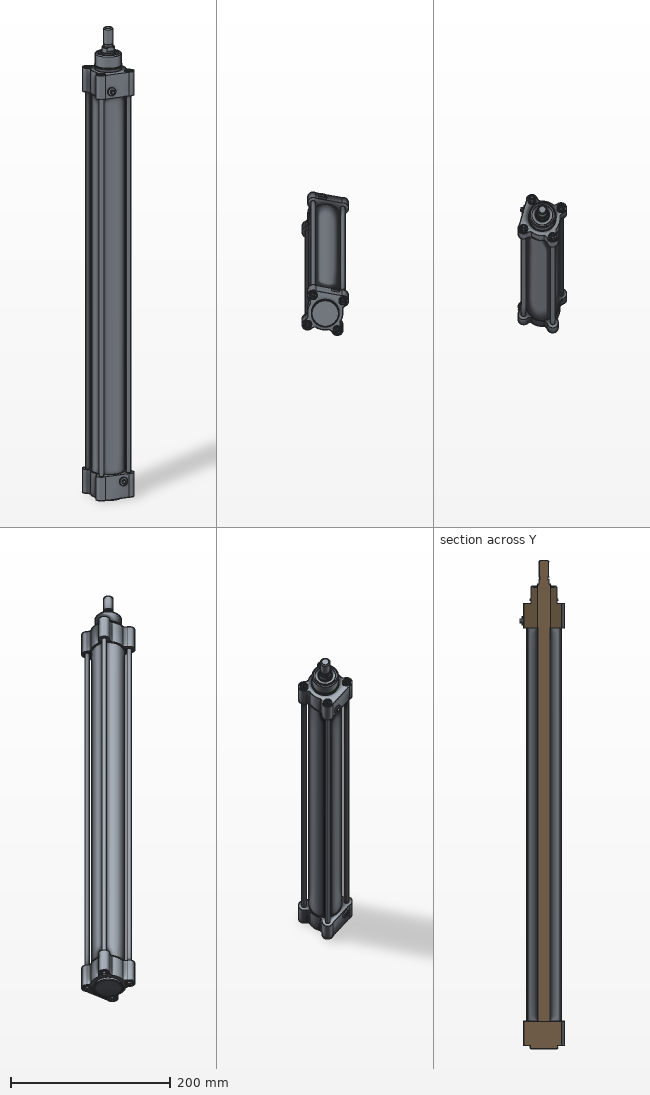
import cadquery as cq

rear_collar_length = 4.0
head_length = 31.0
face_distance = 555.0
front_collar_length = 21.5
rod_extension = 30.0
thread_length = 24.0

rear_face_z = rear_collar_length
rear_inner_z = rear_face_z + head_length
front_face_z = rear_face_z + face_distance
front_inner_z = front_face_z - head_length
front_collar_top_z = front_face_z + front_collar_length
rod_shoulder_z = front_face_z + rod_extension
rod_tip_z = rod_shoulder_z + thread_length

tie_rod_offset = 19.0
post_radius = 7.0
web_half_width = 20.5
post_fillet = 6.0
bulge_radius = 22.15
port_face_x = 25.5

collar_diameter = 35.0
collar_chamfer = 1.0
nose_diameter = 33.0
nose_chamfer = 1.5
nose_ring_gap = 3.7
nose_ring_length = 1.8
seal_recess_diameter = 26.0
seal_recess_depth = 1.0
seal_lip_diameter = 18.0
seal_lip_height = 1.0

tube_diameter = 42.0
tube_bore = 40.0
rod_diameter = 16.0
rod_chamfer = 1.2
wrench_width = 13.0
wrench_length = 5.5
thread_diameter = 12.0
thread_chamfer = 1.5
relief_diameter = 10.7
relief_length = 3.0

tie_rod_diameter = 6.0
nut_diameter = 10.5
nut_length = 10.0
nut_recess = 1.0
nut_hole_diameter = 4.92
nut_hole_depth = 8.0
nut_chamfer = 1.25

screw_offset_y = 8.3
screw_depth_z = 22.0
screw_collar_diameter = 10.7
screw_collar_x = 27.5
front_screw_diameter = 5.0
front_screw_x = 30.39
screw_tip_chamfer = 0.5
rear_screw_diameter = 5.3
rear_screw_x = 28.9

tie_rod_points = [(sx * tie_rod_offset, sy * tie_rod_offset) for sx in (-1, 1) for sy in (-1, 1)]


def disc(diameter, z_bottom, z_top):
    """Cylinder on the main axis between two heights."""
    return cq.Workplane("XY").workplane(offset=z_bottom).circle(diameter / 2).extrude(z_top - z_bottom)


def head_block(z_bottom):
    """Square web with filleted corner posts, a round bulge on each side and the flat port side."""
    plane = cq.Workplane("XY").workplane(offset=z_bottom)
    block = plane.rect(2 * web_half_width, 2 * web_half_width).extrude(head_length)
    post = disc(2 * post_radius, z_bottom, z_bottom + head_length)
    for x, y in tie_rod_points:
        block = block.union(post.translate((x, y, 0)))
    block = block.edges("|Z").fillet(post_fillet)
    block = block.union(disc(2 * bulge_radius, z_bottom, z_bottom + head_length))
    port_side = plane.center(port_face_x / 2, 0).rect(port_face_x, 2 * tie_rod_offset).extrude(head_length)
    return block.union(port_side)


def cushion_screw(y, z, tip_diameter, tip_x):
    """Round screw collar and tip standing out of the port face."""
    plane = cq.Workplane("YZ").workplane(offset=tie_rod_offset).center(y, z)
    collar = plane.circle(screw_collar_diameter / 2).extrude(screw_collar_x - tie_rod_offset)
    tip = plane.circle(tip_diameter / 2).extrude(tip_x - tie_rod_offset).faces(">X").chamfer(screw_tip_chamfer)
    return collar.union(tip)


def tie_rod(x, y):
    """Tie rod with a nut at each end; each nut has a blind hole in its end."""
    low = rear_face_z + nut_recess
    high = front_face_z - nut_recess
    rod = disc(tie_rod_diameter, low, high)
    rod = rod.union(disc(nut_diameter, low, low + nut_length).faces("<Z").chamfer(nut_chamfer))
    rod = rod.union(disc(nut_diameter, high - nut_length, high).faces(">Z").chamfer(nut_chamfer))
    rod = rod.cut(disc(nut_hole_diameter, low, low + nut_hole_depth))
    rod = rod.cut(disc(nut_hole_diameter, high - nut_hole_depth, high))
    return rod.translate((x, y, 0))


def drill_posts(head, nut_seat_bottom, nut_seat_top):
    """Tie rod hole and nut counterbore in each post."""
    for x, y in tie_rod_points:
        head = head.cut(disc(tie_rod_diameter, 0, front_face_z).translate((x, y, 0)))
        head = head.cut(disc(nut_diameter, nut_seat_bottom, nut_seat_top).translate((x, y, 0)))
    return head


rear_head = head_block(rear_face_z)
rear_head = rear_head.union(disc(collar_diameter, 0, rear_face_z).faces("<Z").chamfer(collar_chamfer))
rear_head = rear_head.union(
    cushion_screw(screw_offset_y, rear_face_z + screw_depth_z, rear_screw_diameter, rear_screw_x))
rear_head = drill_posts(rear_head, rear_face_z, rear_face_z + nut_recess + nut_length)

nose_ring_z = front_face_z + nose_ring_gap
front_head = head_block(front_inner_z)
nose = disc(nose_diameter, front_face_z, front_collar_top_z).faces(">Z").chamfer(nose_chamfer)
nose = nose.union(disc(collar_diameter, nose_ring_z, nose_ring_z + nose_ring_length))
recess = disc(seal_recess_diameter, front_collar_top_z - seal_recess_depth, front_collar_top_z)
lip = disc(seal_lip_diameter, front_collar_top_z - seal_recess_depth, front_collar_top_z + seal_lip_height)
front_head = front_head.union(nose).cut(recess).union(lip)
front_head = front_head.union(
    cushion_screw(-screw_offset_y, front_face_z - screw_depth_z, front_screw_diameter, front_screw_x))
front_head = front_head.cut(disc(rod_diameter, front_inner_z, rod_shoulder_z))
front_head = drill_posts(front_head, front_face_z - nut_recess - nut_length, front_face_z)

tube = disc(tube_diameter, rear_inner_z, front_inner_z).cut(disc(tube_bore, rear_inner_z, front_inner_z))

piston_rod = disc(rod_diameter, rear_inner_z, rod_shoulder_z).faces(">Z").chamfer(rod_chamfer)
flats_centre_z = rod_shoulder_z - wrench_length / 2
flats_stock = cq.Workplane("XY").box(2 * rod_diameter, 2 * rod_diameter, wrench_length)
flats_core = cq.Workplane("XY").box(wrench_width, 2 * rod_diameter, wrench_length)
piston_rod = piston_rod.cut(flats_stock.cut(flats_core).translate((0, 0, flats_centre_z)))
relief_top_z = rod_shoulder_z + relief_length
piston_rod = piston_rod.union(disc(relief_diameter, rod_shoulder_z, relief_top_z))
piston_rod = piston_rod.union(disc(thread_diameter, relief_top_z, rod_tip_z).faces(">Z").chamfer(thread_chamfer))

tie_rods = [tie_rod(x, y) for x, y in tie_rod_points]

result = cq.Compound.makeCompound(
    [rear_head.val(), front_head.val(), tube.val(), piston_rod.val(), *[rod.val() for rod in tie_rods]]
)